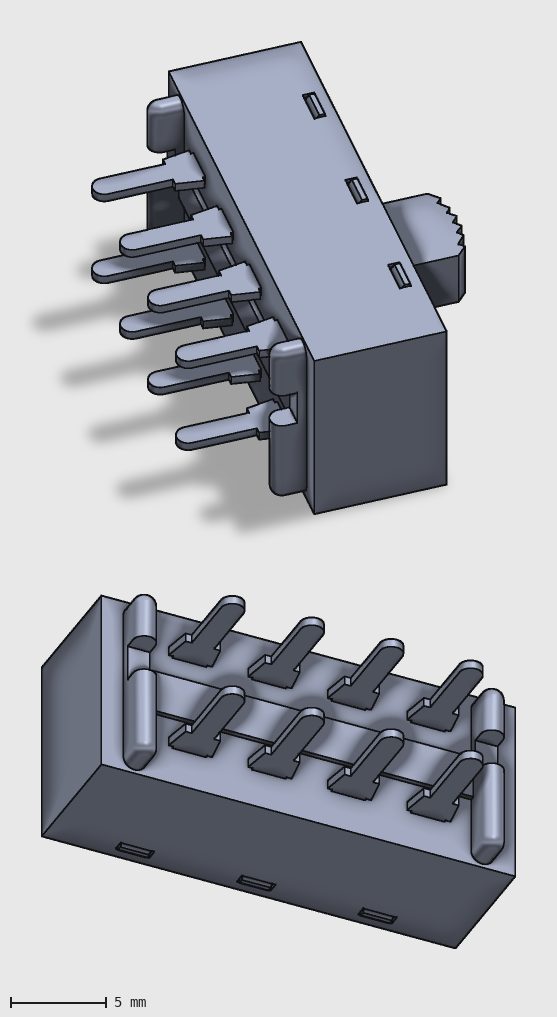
import cadquery as cq


HOUSING_LENGTH = 23.93
HOUSING_DEPTH = 7.3
HOUSING_HEIGHT = 10.75
WALL = 0.25

SNAP_PITCH = 7.0
SNAP_XS = [-SNAP_PITCH, 0, SNAP_PITCH]
WINDOW_LENGTH = 1.95
WINDOW_BACK_Y = 6.05
WINDOW_FRONT_Y = 6.68
HOOK_LENGTH = 1.68
HOOK_FLAT = 0.3
OVERALL_HEIGHT = 10.82

RAIL_X = 10.05
RAIL_WIDTH = 1.3
RAIL_RADIUS = RAIL_WIDTH / 2
RAIL_LENGTH = 10.3
RAIL_HEIGHT = 1.8
NOTCH_BOTTOM_Z = 0.1
NOTCH_WIDTH = 2.1
NOTCH_FLOOR = 0.5

STRIP_WIDTH = 2.51
STRIP_HEIGHT = 0.29

TERMINAL_COLUMNS = 4
TERMINAL_PITCH = 4.6
TERMINAL_ROW_Z = 2.87
TERMINAL_THICKNESS = 0.5
TERMINAL_END = 5.89
BLADE_WIDTH = 1.3
NECK_WIDTH = 1.96
SHOULDER_START = 0.15
SHOULDER_END = 1.68
SHOULDER_START_WIDTH = 2.51
SHOULDER_END_WIDTH = 2.0

SLIDER_WIDTH = 5.12
SLIDER_HEIGHT = 3.25
SLIDER_TIP_Y = HOUSING_DEPTH + 4.71
SLIDER_EDGE_DROP = 0.9
GRIP_HALF = [(0, 0.35), (0.4, 0), (0.81, 0.43), (1.12, 0.15), (1.7, 0.65), (1.99, 0.35)]

COVER_BACK_Y = 6.13
COVER_LENGTH = HOUSING_LENGTH - 2 * WALL
COVER_HEIGHT = HOUSING_HEIGHT - 2 * WALL


def block(length, height, y_start, y_end):
    """Box centred on X = 0 and Z = 0 that runs from y_start to y_end."""
    return cq.Workplane("XY").box(length, y_end - y_start, height).translate((0, (y_start + y_end) / 2, 0))


def make_rail(x):
    """Rail with rounded ends and a rounded crest, notched across to pass a track."""
    end_z = RAIL_LENGTH / 2 - RAIL_RADIUS
    crest_y = RAIL_RADIUS - RAIL_HEIGHT
    rail = block(RAIL_WIDTH, 2 * end_z, crest_y, 0)
    rail = rail.union(cq.Workplane("XY", origin=(0, crest_y, -end_z)).circle(RAIL_RADIUS).extrude(2 * end_z))
    for z in (-end_z, end_z):
        end_post = cq.Workplane("XZ", origin=(0, 0, z)).circle(RAIL_RADIUS).extrude(-crest_y)
        end_ball = cq.Workplane("XY", origin=(0, crest_y, z)).sphere(RAIL_RADIUS)
        rail = rail.union(end_post).union(end_ball)
    notch = block(RAIL_WIDTH, NOTCH_WIDTH, -RAIL_HEIGHT, -NOTCH_FLOOR)
    rail = rail.cut(notch.translate((0, 0, NOTCH_BOTTOM_Z + NOTCH_WIDTH / 2)))
    return rail.translate((x, 0, 0))


def make_terminal(x, z):
    """Flat terminal: a neck at the housing, tapered shoulders and a round-ended blade."""
    round_start = TERMINAL_END - BLADE_WIDTH / 2
    return (
        cq.Workplane("XY", origin=(x, 0, z - TERMINAL_THICKNESS / 2))
        .moveTo(-NECK_WIDTH / 2, 0)
        .lineTo(-NECK_WIDTH / 2, -SHOULDER_START)
        .lineTo(-SHOULDER_START_WIDTH / 2, -SHOULDER_START)
        .lineTo(-SHOULDER_END_WIDTH / 2, -SHOULDER_END)
        .lineTo(-BLADE_WIDTH / 2, -SHOULDER_END)
        .lineTo(-BLADE_WIDTH / 2, -round_start)
        .threePointArc((0, -TERMINAL_END), (BLADE_WIDTH / 2, -round_start))
        .lineTo(BLADE_WIDTH / 2, -SHOULDER_END)
        .lineTo(SHOULDER_END_WIDTH / 2, -SHOULDER_END)
        .lineTo(SHOULDER_START_WIDTH / 2, -SHOULDER_START)
        .lineTo(NECK_WIDTH / 2, -SHOULDER_START)
        .lineTo(NECK_WIDTH / 2, 0)
        .close()
        .extrude(TERMINAL_THICKNESS)
    )


def make_housing():
    """Box with a recess for the cover on +Y, snap windows, rails, a strip and the terminals."""
    housing = block(HOUSING_LENGTH, HOUSING_HEIGHT, 0, HOUSING_DEPTH)
    housing = housing.cut(block(COVER_LENGTH, COVER_HEIGHT, WINDOW_BACK_Y, HOUSING_DEPTH))
    for x in SNAP_XS:
        window = block(WINDOW_LENGTH, HOUSING_HEIGHT, WINDOW_BACK_Y, WINDOW_FRONT_Y)
        housing = housing.cut(window.translate((x, 0, 0)))
    housing = housing.union(block(2 * RAIL_X - RAIL_WIDTH, STRIP_WIDTH, -STRIP_HEIGHT, 0))
    for x in (-RAIL_X, RAIL_X):
        housing = housing.union(make_rail(x))
    for column in range(TERMINAL_COLUMNS):
        x = (column - (TERMINAL_COLUMNS - 1) / 2) * TERMINAL_PITCH
        for z in (-TERMINAL_ROW_Z, TERMINAL_ROW_Z):
            housing = housing.union(make_terminal(x, z))
    return housing


def make_hook_pair(x):
    """Bar through the cover whose two ends are snap hooks, each with a ramp facing -Y."""
    flat_y = WINDOW_FRONT_Y - HOOK_FLAT
    return (
        cq.Workplane("YZ", origin=(x - HOOK_LENGTH / 2, 0, 0))
        .moveTo(COVER_BACK_Y, -COVER_HEIGHT / 2)
        .lineTo(flat_y, -OVERALL_HEIGHT / 2)
        .lineTo(WINDOW_FRONT_Y, -OVERALL_HEIGHT / 2)
        .lineTo(WINDOW_FRONT_Y, OVERALL_HEIGHT / 2)
        .lineTo(flat_y, OVERALL_HEIGHT / 2)
        .lineTo(COVER_BACK_Y, COVER_HEIGHT / 2)
        .close()
        .extrude(HOOK_LENGTH)
    )


def make_cover():
    """Plate that closes the housing, with snap hooks and an opening that fits the slider."""
    cover = block(COVER_LENGTH, COVER_HEIGHT, COVER_BACK_Y, HOUSING_DEPTH)
    for x in SNAP_XS:
        cover = cover.union(make_hook_pair(x))
    return cover.cut(block(SLIDER_WIDTH, SLIDER_HEIGHT, COVER_BACK_Y, HOUSING_DEPTH))


def make_slider():
    """Slider flush with the back of the cover, ending outside in an arched row of grip teeth."""
    right_teeth = [(x, SLIDER_TIP_Y - drop) for x, drop in GRIP_HALF]
    left_teeth = [(-x, y) for x, y in reversed(right_teeth[1:])]
    edge_y = SLIDER_TIP_Y - SLIDER_EDGE_DROP
    outline = [
        (-SLIDER_WIDTH / 2, COVER_BACK_Y),
        (-SLIDER_WIDTH / 2, edge_y),
        *left_teeth,
        *right_teeth,
        (SLIDER_WIDTH / 2, edge_y),
        (SLIDER_WIDTH / 2, COVER_BACK_Y),
    ]
    return cq.Workplane("XY", origin=(0, 0, -SLIDER_HEIGHT / 2)).polyline(outline).close().extrude(SLIDER_HEIGHT)


housing = make_housing()
cover = make_cover()
slider = make_slider()

result = cq.Compound.makeCompound([housing.val(), cover.val(), slider.val()])